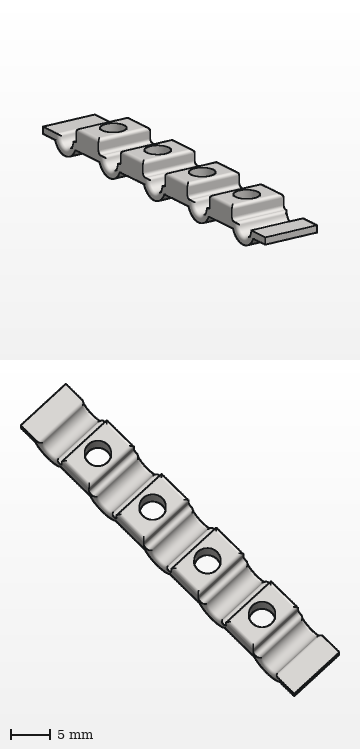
import cadquery as cq
import math

length = 50.0
width = 8.0
height = 4.5

trough_count = 5
block_count = trough_count - 1
pitch = length / trough_count

trough_inner_radius = 1.5
trough_wall = 1.0
trough_outer_radius = trough_inner_radius + trough_wall

plate_thickness = 1.0
plate_top = trough_outer_radius
plate_bottom = plate_top - plate_thickness

block_length = 5.0
hole_diameter = 3.4

edge_radius = 0.5


def centres(count):
    """X positions of a row of equally pitched features centred on X = 0."""
    return [(i - (count - 1) / 2) * pitch for i in range(count)]


def box(size_x, z_low, z_high, x=0.0):
    """Full-width box between two heights, centred at x."""
    base = cq.Workplane("XY", origin=(x, 0, z_low))
    return base.rect(size_x, width).extrude(z_high - z_low)


def trough_shell(x):
    """Outside of a trough: lower half of a full-width cylinder along Y."""
    axis_plane = cq.Workplane("XZ", origin=(x, width / 2, plate_top))
    cylinder = axis_plane.circle(trough_outer_radius).extrude(width)
    return cylinder.intersect(box(2 * trough_outer_radius, 0, plate_top, x))


def block(x):
    """Raised block with a rounded rim around its top face."""
    return box(block_length, plate_bottom, height, x).faces(">Z").edges().fillet(edge_radius)


def block_foot(x, side):
    """Concave fillet where one end wall of a block (side = -1 or 1) meets the plate top."""
    wall = x + side * block_length / 2
    toe = wall + side * edge_radius
    return (
        cq.Workplane("XZ", origin=(0, width / 2, 0))
        .moveTo(wall, plate_top)
        .lineTo(toe, plate_top)
        .radiusArc((wall, plate_top + edge_radius), side * edge_radius)
        .close()
        .extrude(width)
    )


def trough_bore(x):
    """Cutter for the inside of a trough, flaring out in a rounded edge at both ends."""
    end = width / 2
    straight_end = end - edge_radius
    end_radius = trough_inner_radius + edge_radius
    return (
        cq.Workplane("XY", origin=(x, 0, plate_top))
        .moveTo(0, -end)
        .lineTo(end_radius, -end)
        .radiusArc((trough_inner_radius, -straight_end), edge_radius)
        .lineTo(trough_inner_radius, straight_end)
        .radiusArc((end_radius, end), edge_radius)
        .lineTo(0, end)
        .close()
        .revolve(360, (0, 0, 0), (0, 1, 0))
    )


def trough_mouth(x):
    """Cutter that rounds both long edges where a trough opens into the plate top."""
    centre_distance = trough_inner_radius + edge_radius
    half_mouth = math.sqrt(centre_distance**2 - edge_radius**2)
    bore_fraction = trough_inner_radius / centre_distance
    half_throat = half_mouth * bore_fraction
    throat_depth = edge_radius * bore_fraction
    return (
        cq.Workplane("XZ", origin=(x, width / 2, plate_top))
        .moveTo(-half_mouth, 0)
        .radiusArc((-half_throat, -throat_depth), edge_radius)
        .lineTo(half_throat, -throat_depth)
        .radiusArc((half_mouth, 0), edge_radius)
        .close()
        .extrude(width)
    )


body = box(length, plate_bottom, plate_top)
for x in centres(trough_count):
    body = body.union(trough_shell(x))
for x in centres(block_count):
    body = body.union(block(x))
    for side in (-1, 1):
        body = body.union(block_foot(x, side))

for x in centres(trough_count):
    body = body.cut(trough_bore(x)).cut(trough_mouth(x))

hole_points = [(x, 0) for x in centres(block_count)]
holes = cq.Workplane("XY").pushPoints(hole_points).circle(hole_diameter / 2).extrude(height)

result = body.cut(holes)